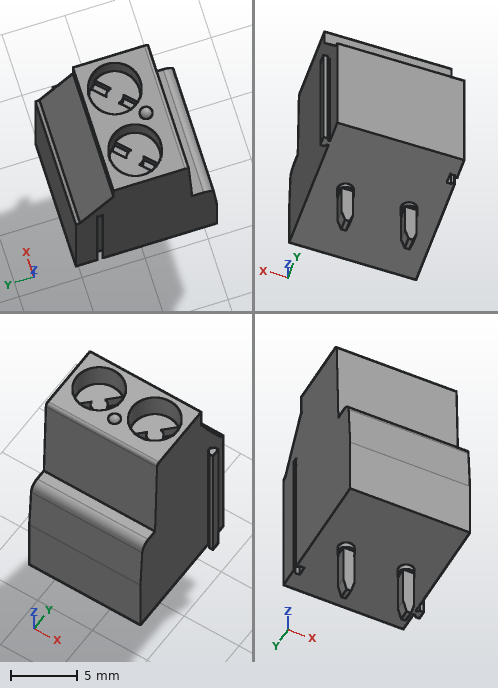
import cadquery as cq


pitch = 5.08
pole_count = 2
housing_width = pitch * pole_count
housing_depth = 11.2
housing_height = 17.99
front_wall_height = 5.13
ledge_height = 9.76
ledge_front_y = 0.3
ledge_back_y = 1.98
ledge_radius = 0.82
top_front_y = 2.25
top_front_radius = 0.3
top_back_y = 8.22
top_back_height = 16.3
back_bevel_y = 10.88
back_bevel_height = 11.77
back_wall_height = 11.6

pole_y = 5.7
pin_length = 5.0
pin_width = 0.93
pin_thickness = 0.89
pin_tip_width = 0.37
pin_tip_length = 1.03
collar_radius = 0.65
collar_height = 0.5
core_radius = collar_radius
well_radius = 2.03
screw_radius = 1.93
screw_top_depth = 2.0
slot_width = 0.72
slot_depth = 0.93
screw_height = 1.4
slot_angle = 45
screw_top_z = housing_height - screw_top_depth
well_floor_z = screw_top_z - screw_height

dome_y = 4.03
dome_radius = 0.5
dome_height = 0.3

rail_y = 9.3
rail_height = 12.0
rail_projection = 0.58
rail_lip = 0.1
rail_neck_width = 0.4
rail_head_width = 0.75
rail_clearance = 0.02

pole_positions = [(pitch * (index + 0.5), pole_y) for index in range(pole_count)]


def make_housing():
    """Extrude the stepped side profile and round its two front edges."""
    profile = [
        (0, 0),
        (housing_depth, 0),
        (housing_depth, back_wall_height),
        (back_bevel_y, back_bevel_height),
        (top_back_y, top_back_height),
        (top_back_y, housing_height),
        (top_front_y, housing_height),
        (ledge_back_y, ledge_height),
        (ledge_front_y, ledge_height),
        (0, front_wall_height),
    ]
    body = cq.Workplane("YZ").polyline(profile).close().extrude(housing_width)
    middle = housing_width / 2
    ledge_edge = cq.NearestToPointSelector((middle, ledge_front_y, ledge_height))
    top_edge = cq.NearestToPointSelector((middle, top_front_y, housing_height))
    body = body.edges(ledge_edge).fillet(ledge_radius)
    return body.edges(top_edge).fillet(top_front_radius)


def make_dovetail(base_x, clearance):
    """Dovetail bar standing on the bottom plane, widening from base_x toward +X."""
    neck = rail_neck_width / 2 + clearance
    head = rail_head_width / 2 + clearance
    flare_end = rail_lip + head - neck
    tip = rail_projection + clearance
    section = [
        (0, -neck),
        (rail_lip, -neck),
        (flare_end, -head),
        (tip, -head),
        (tip, head),
        (flare_end, head),
        (rail_lip, neck),
        (0, neck),
    ]
    bar = cq.Workplane("XY").polyline(section).close().extrude(rail_height)
    return bar.translate((base_x, rail_y, 0))


def make_wells():
    """Round wells in the top face, one per pole, down to the foot of the screw heads."""
    floor = cq.Workplane("XY").workplane(offset=well_floor_z)
    wells = floor.pushPoints(pole_positions).circle(well_radius)
    return wells.extrude(housing_height - well_floor_z)


def make_screws():
    """Slotted screw heads in the wells, with a solid core that interrupts the slot."""
    floor = cq.Workplane("XY").workplane(offset=well_floor_z)
    slot = (
        cq.Workplane("XY")
        .box(2 * well_radius, slot_width, slot_depth, centered=(True, True, False))
        .rotate((0, 0, 0), (0, 0, 1), slot_angle)
        .translate((0, 0, screw_top_z - slot_depth))
    )
    head = floor.circle(screw_radius).extrude(screw_height).cut(slot)
    head = head.union(floor.circle(core_radius).extrude(screw_height))
    return [head.translate((x, y, 0)) for x, y in pole_positions]


def make_pins():
    """Collared solder pins below the housing, each narrowing in X to a blunt tip."""
    half = pin_width / 2
    half_tip = pin_tip_width / 2
    shoulder_z = pin_tip_length - pin_length
    outline = [
        (-half, 0),
        (-half, shoulder_z),
        (-half_tip, -pin_length),
        (half_tip, -pin_length),
        (half, shoulder_z),
        (half, 0),
    ]
    pin = cq.Workplane("XZ").polyline(outline).close().extrude(pin_thickness / 2, both=True)
    pin = pin.union(cq.Workplane("XY").circle(collar_radius).extrude(-collar_height))
    return [pin.translate((x, y, 0)) for x, y in pole_positions]


def make_dome():
    """Spherical cap centred between the two poles."""
    sphere_radius = (dome_radius**2 + dome_height**2) / (2 * dome_height)
    cap = (
        cq.Workplane("XZ")
        .moveTo(0, dome_height)
        .lineTo(0, 0)
        .lineTo(dome_radius, 0)
        .radiusArc((0, dome_height), -sphere_radius)
        .close()
        .revolve(360, (0, 0), (0, 1))
    )
    return cap.translate((housing_width / 2, dome_y, housing_height))


result = make_housing().cut(make_wells()).cut(make_dovetail(0, rail_clearance))
for added_part in make_screws() + make_pins():
    result = result.union(added_part)
result = result.union(make_dovetail(housing_width, 0)).union(make_dome())